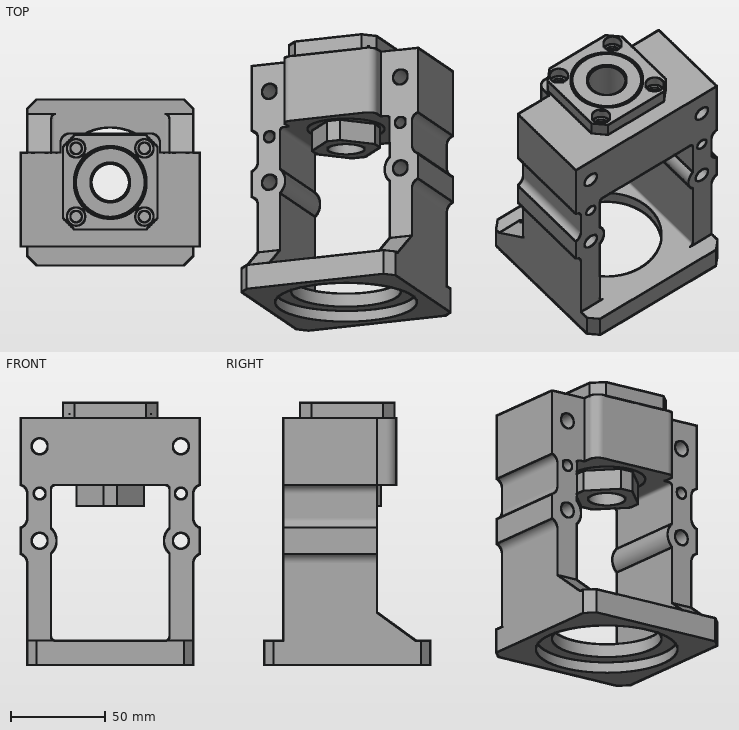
import cadquery as cq
import math


total_height = 139.0
flange_thickness = 8.0
block_height = 35.6
base_thickness = 13.0
block_top = total_height - flange_thickness
block_bottom = block_top - block_height

base_size = 88.0
base_chamfer = 5.0
base_hole_radius = 29.0
base_recess_radius = 37.5
base_recess_depth = 5.8

block_width = 95.0
front_y = -33.9
back_y = 15.8
block_half = block_width / 2
leg_half = base_size / 2
opening_half = 31.3
opening_fillet = 2.0
side_overhang = block_half - leg_half

pad_width = 52.7
pad_back_y = 26.0
pad_radius = 5.0

foot_top = 28.0
foot_back_y = 36.3

hole_x = 37.4
hole_pitch = 25.0
boss_z = 65.9
mount_radius = 4.2
dowel_radius = 3.0

inner_boss_radius = 9.0
outer_boss_half = 7.0
boss_scoop_radius = 5.3
block_scoop_radius = 4.6

flange_size = 50.0
flange_chamfer = 6.1
screw_pitch = 36.1
screw_radius = 3.0
counterbore_radius = 4.9
counterbore_depth = 6.0

sleeve_radius = 18.8
shoulder_radius = 20.5
shoulder_depth = 1.5
shoulder_top = total_height - shoulder_depth
bore_radius = 9.9
edge_chamfer = 0.5
bore_chamfer = 0.7
nut_flats = 30.6
nut_corners = 35.9
nut_height = 11.1


def box_between(x_min, x_max, y_min, y_max, z_min, z_max):
    size = (x_max - x_min, y_max - y_min, z_max - z_min)
    return cq.Workplane("XY").box(*size, centered=False).translate((x_min, y_min, z_min))


def cylinder_z(radius, z_min, z_max):
    return cq.Workplane("XY").workplane(offset=z_min).circle(radius).extrude(z_max - z_min)


def cylinder_y(radius, x, z, y_min, y_max):
    """Cylinder along Y between two Y positions."""
    return cq.Workplane("XZ", origin=(x, y_min, z)).circle(radius).extrude(y_min - y_max)


def scoop_run(radius):
    """Length along the leg of an arc that meets the leg tangentially and ends at the overhang."""
    return math.sqrt(radius**2 - (radius - side_overhang) ** 2)


def scoop_middle(radius, end_z, direction):
    """Point halfway along such an arc; direction is +1 when the overhang lies above the leg."""
    half_angle = math.acos((radius - side_overhang) / radius) / 2
    x = leg_half + radius * (1 - math.cos(half_angle))
    return x, end_z + direction * radius * math.sin(half_angle)


def outer_profile():
    """Front outline of block and legs, with scooped steps on both sides."""
    block_scoop_end = block_bottom - scoop_run(block_scoop_radius)
    boss_top = boss_z + outer_boss_half
    boss_bottom = boss_z - outer_boss_half
    upper_scoop_end = boss_top + scoop_run(boss_scoop_radius)
    lower_scoop_end = boss_bottom - scoop_run(boss_scoop_radius)
    half = (
        cq.Workplane("XZ", origin=(0, back_y, 0))
        .moveTo(0, 0)
        .lineTo(leg_half, 0)
        .lineTo(leg_half, lower_scoop_end)
        .threePointArc(scoop_middle(boss_scoop_radius, lower_scoop_end, 1), (block_half, boss_bottom))
        .lineTo(block_half, boss_top)
        .threePointArc(scoop_middle(boss_scoop_radius, upper_scoop_end, -1), (leg_half, upper_scoop_end))
        .lineTo(leg_half, block_scoop_end)
        .threePointArc(scoop_middle(block_scoop_radius, block_scoop_end, 1), (block_half, block_bottom))
        .lineTo(block_half, block_top)
        .lineTo(0, block_top)
        .close()
        .extrude(back_y - front_y)
    )
    return half.union(half.mirror("YZ"))


def sloped_feet():
    """Side outline of the lower legs, tapering back onto the base plate."""
    outline = [
        (front_y, 0),
        (foot_back_y, 0),
        (foot_back_y, base_thickness),
        (back_y, foot_top),
        (front_y, foot_top),
    ]
    return cq.Workplane("YZ", origin=(-leg_half, 0, 0)).polyline(outline).close().extrude(base_size)


def base_plate():
    plate = cq.Workplane("XY").rect(base_size, base_size).extrude(base_thickness)
    return plate.edges("|Z").chamfer(base_chamfer)


def back_pad():
    pad = box_between(-pad_width / 2, pad_width / 2, 0, pad_back_y, block_bottom, block_top)
    return pad.edges("|Z and >Y").fillet(pad_radius)


def leg_opening():
    opening = box_between(
        -opening_half, opening_half, front_y, foot_back_y, base_thickness, block_bottom
    )
    opening = opening.edges("|Y").fillet(opening_fillet)
    for side in (-1, 1):
        opening = opening.cut(cylinder_y(inner_boss_radius, side * hole_x, boss_z, front_y, back_y))
    return opening


def make_bracket():
    """Base plate, two legs and head block in one piece, bored for the sleeve."""
    bracket = outer_profile().union(sloped_feet()).cut(leg_opening())
    bracket = bracket.union(back_pad()).union(base_plate())
    bracket = bracket.cut(cylinder_z(base_hole_radius, 0, base_thickness))
    bracket = bracket.cut(cylinder_z(base_recess_radius, 0, base_recess_depth))
    bracket = bracket.cut(cylinder_z(shoulder_radius, block_bottom, block_top))
    radii = (mount_radius, dowel_radius, mount_radius)
    for side in (-1, 1):
        for step, radius in enumerate(radii):
            z = boss_z + step * hole_pitch
            bracket = bracket.cut(cylinder_y(radius, side * hole_x, z, front_y, back_y))
    return bracket


def make_flange():
    """Square plate with counterbored corner holes and a lip that holds the sleeve down."""
    flange = cq.Workplane("XY").workplane(offset=block_top).rect(flange_size, flange_size)
    flange = flange.extrude(flange_thickness).edges("|Z").chamfer(flange_chamfer)
    flange = flange.cut(cylinder_z(sleeve_radius, block_top, total_height))
    flange = flange.cut(cylinder_z(shoulder_radius, block_top, shoulder_top))
    flange = flange.faces(">Z").edges("%CIRCLE").chamfer(edge_chamfer)
    return (
        flange.faces(">Z")
        .workplane(origin=(0, 0, total_height))
        .rect(screw_pitch, screw_pitch, forConstruction=True)
        .vertices()
        .cboreHole(2 * screw_radius, 2 * counterbore_radius, counterbore_depth)
    )


def make_sleeve():
    """Hollow spindle sleeve with a wider body below the flange lip."""
    sleeve = cylinder_z(sleeve_radius, block_bottom, total_height)
    sleeve = sleeve.union(cylinder_z(shoulder_radius, block_bottom, shoulder_top))
    sleeve = sleeve.cut(cylinder_z(bore_radius, block_bottom, total_height))
    bore_edge = cq.selectors.RadiusNthSelector(0)
    outer_edge = cq.selectors.RadiusNthSelector(-1)
    sleeve = sleeve.faces(">Z").edges(bore_edge).chamfer(bore_chamfer)
    return sleeve.faces(">Z").edges(outer_edge).chamfer(edge_chamfer)


def make_lock_nut():
    """Square nut turned by 45 degrees, with its four corners cut flat."""
    nut_bottom = block_bottom - nut_height
    square = cq.Workplane("XY").workplane(offset=nut_bottom).rect(nut_flats, nut_flats)
    nut = square.extrude(nut_height).rotate((0, 0, 0), (0, 0, 1), 45)
    corner_limit = cq.Workplane("XY").workplane(offset=nut_bottom).rect(nut_corners, nut_corners)
    nut = nut.intersect(corner_limit.extrude(nut_height))
    return nut.cut(cylinder_z(bore_radius, nut_bottom, block_bottom))


bracket = make_bracket()
flange = make_flange()
sleeve = make_sleeve()
lock_nut = make_lock_nut()

result = cq.Compound.makeCompound([bracket.val(), flange.val(), sleeve.val(), lock_nut.val()])